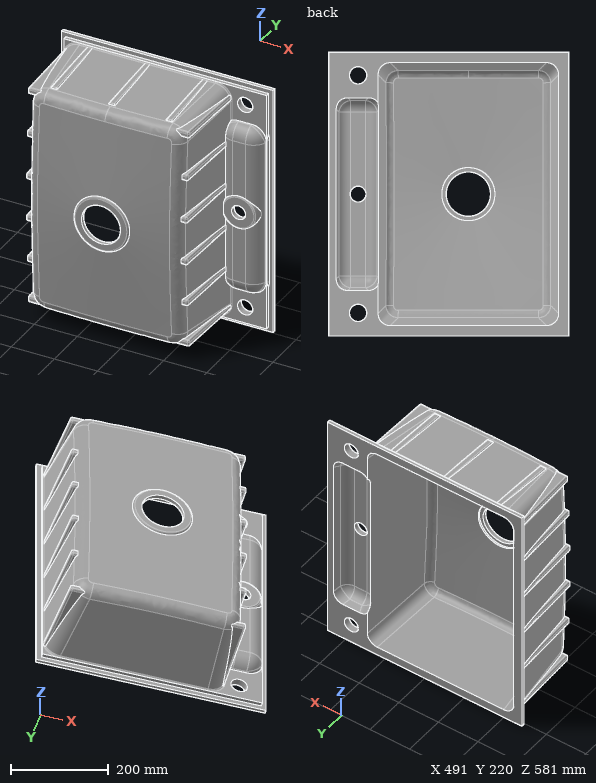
import cadquery as cq
import math


RIM_WIDTH = 491.0
RIM_HEIGHT = 581.0
RIM_THICKNESS = 8.0
STEP_INSET = 10.5
STEP_THICKNESS = 9.0
PLATE_DEPTH = RIM_THICKNESS + STEP_THICKNESS

WALL = 10.0

BASIN_X = -40.0
BASIN_WIDTH = 386.0
BASIN_HEIGHT = 554.5
BASIN_DRAFT = 5.3
BASIN_CORNER_RADIUS = 35.0
BASIN_ROOT_RADIUS = 3.0
BASIN_FLOOR_RADIUS = 26.0
FLOOR_SLOPE = 0.073
FLOOR_APEX_DEPTH = 220.0

DRAIN_FACE_DEPTH = 220.0
DRAIN_FLANGE_DIAMETER = 128.5
DRAIN_EDGE_RADIUS = 4.0
DRAIN_HOLE_DIAMETER = 90.0

TRAY_X = 185.5
TRAY_WIDTH = 97.5
TRAY_HEIGHT = 402.0
TRAY_FLOOR_DEPTH = PLATE_DEPTH + 26.0
TRAY_DRAFT = 19.0
TRAY_RADIUS = 35.0
BOSS_FACE_DEPTH = PLATE_DEPTH + 28.5
BOSS_FACE_DIAMETER = 75.5
BOSS_EDGE_RADIUS = 3.0
BOSS_HOLE_DIAMETER = 32.0

TAP_HOLE_DIAMETER = 35.0
TAP_HOLE_Z = 243.0

RIB_WIDTH = 14.5
SIDE_RIB_EDGE_RADIUS = 4.0
SIDE_RIB_COUNT = 6
SIDE_RIB_PITCH = 100.0
SIDE_RIB_DRAFT = 2.0
SIDE_RIB_FLOOR_GAP = 9.5
END_RIB_COUNT = 3
END_RIB_PITCH = 133.5
END_RIB_END_DEPTH = PLATE_DEPTH + 157.0
END_RIB_RISE = 3.0
END_RIB_EDGE_RADIUS = 2.5

EDGE_SEARCH_MARGIN = 0.5


def plane_at(depth, x=0.0, z=0.0):
    """Workplane at a depth behind the rim face; its local axes are X and Z, its normal is -Y."""
    return cq.Workplane("XZ", origin=(x, -depth, z))


def narrowing(depth, draft):
    """Sideways shift of a drafted wall between the back of the plate and a depth."""
    return (depth - PLATE_DEPTH) * math.tan(math.radians(draft))


def drafted_block(x, width, height, draft, end_depth):
    """Block from the rim face down, with the given size at the back of the plate."""
    growth = -2 * narrowing(0, draft)
    return plane_at(0, x).rect(width + growth, height + growth).extrude(end_depth, taper=draft)


def floor_depth(x, z):
    """Depth of the conical basin floor at a point of the XZ plane."""
    return FLOOR_APEX_DEPTH - FLOOR_SLOPE * math.hypot(x - BASIN_X, z)


def basin_body(inset):
    """Basin shape shrunk by a wall thickness: drafted walls over a shallow conical floor."""
    apex_depth = FLOOR_APEX_DEPTH - inset
    apex = cq.Vector(BASIN_X, -apex_depth, 0)
    cone = cq.Solid.makeCone(0, apex_depth / FLOOR_SLOPE, apex_depth, apex, cq.Vector(0, 1, 0))
    body = drafted_block(
        BASIN_X, BASIN_WIDTH - 2 * inset, BASIN_HEIGHT - 2 * inset, BASIN_DRAFT, FLOOR_APEX_DEPTH
    )
    body = body.edges("not(#Y)").fillet(BASIN_CORNER_RADIUS - inset)
    body = body.intersect(cq.Workplane(obj=cone))
    return body.faces("%CONE").faces("<Y").edges().fillet(BASIN_FLOOR_RADIUS - inset)


def tray_body(inset):
    """Tray shape shrunk by a wall thickness."""
    body = drafted_block(
        TRAY_X, TRAY_WIDTH - 2 * inset, TRAY_HEIGHT - 2 * inset, TRAY_DRAFT, TRAY_FLOOR_DEPTH - inset
    )
    return body.edges("not >Y").fillet(TRAY_RADIUS - inset)


def disc(depth, end_depth, x, diameter, z=0.0):
    return plane_at(depth, x, z).circle(diameter / 2).extrude(end_depth - depth)


def plate():
    rim = plane_at(0).rect(RIM_WIDTH, RIM_HEIGHT).extrude(RIM_THICKNESS)
    step = plane_at(0).rect(RIM_WIDTH - 2 * STEP_INSET, RIM_HEIGHT - 2 * STEP_INSET).extrude(PLATE_DEPTH)
    return rim.union(step)


def drain_flange():
    flange = disc(PLATE_DEPTH, DRAIN_FACE_DEPTH, BASIN_X, DRAIN_FLANGE_DIAMETER)
    return flange.faces("<Y").edges().fillet(DRAIN_EDGE_RADIUS)


def tray_boss():
    base_diameter = BOSS_FACE_DIAMETER + 2 * narrowing(BOSS_FACE_DEPTH, TRAY_DRAFT)
    boss = plane_at(PLATE_DEPTH, TRAY_X).circle(base_diameter / 2)
    boss = boss.extrude(BOSS_FACE_DEPTH - PLATE_DEPTH, taper=TRAY_DRAFT)
    return boss.faces("<Y").edges().fillet(BOSS_EDGE_RADIUS)


def filled_outer_shape():
    """Plate with the basin, the tray and their drain bosses, still filled."""
    half_width = BASIN_WIDTH / 2 + EDGE_SEARCH_MARGIN
    half_height = BASIN_HEIGHT / 2 + EDGE_SEARCH_MARGIN
    basin_root = cq.selectors.BoxSelector(
        (BASIN_X - half_width, -PLATE_DEPTH - EDGE_SEARCH_MARGIN, -half_height),
        (BASIN_X + half_width, -PLATE_DEPTH + EDGE_SEARCH_MARGIN, half_height),
    )
    body = plate().union(basin_body(0))
    body = body.edges(basin_root).fillet(BASIN_ROOT_RADIUS)
    return body.union(tray_body(0)).union(drain_flange()).union(tray_boss())


def side_rib_pair(z):
    """Ribs on the -X and +X walls, built as one bar through the basin."""
    end_depth = floor_depth(BASIN_X + BASIN_WIDTH / 2, z) - SIDE_RIB_FLOOR_GAP
    start = BASIN_WIDTH / 2
    end = start - narrowing(end_depth, SIDE_RIB_DRAFT)
    profile = [(start, -PLATE_DEPTH), (end, -end_depth), (-end, -end_depth), (-start, -PLATE_DEPTH)]
    bar = cq.Workplane("XY", origin=(BASIN_X, 0, z)).polyline(profile).close()
    bar = bar.extrude(RIB_WIDTH / 2, both=True)
    outer_edges = bar.faces("<X or >X").edges("not >Y")
    end_edges = bar.edges("|X and <Y")
    return outer_edges.add(end_edges).fillet(SIDE_RIB_EDGE_RADIUS)


def end_rib(x):
    """Rib on the +Z wall, which ends above the floor rounding."""
    start = BASIN_HEIGHT / 2
    end = start - narrowing(END_RIB_END_DEPTH, BASIN_DRAFT) + END_RIB_RISE
    profile = [(-PLATE_DEPTH, start), (-END_RIB_END_DEPTH, end), (-END_RIB_END_DEPTH, 0), (-PLATE_DEPTH, 0)]
    bar = cq.Workplane("YZ", origin=(x, 0, 0)).polyline(profile).close()
    bar = bar.extrude(RIB_WIDTH / 2, both=True)
    return bar.faces(">Z").edges("not >Y").fillet(END_RIB_EDGE_RADIUS)


def centred_positions(count, pitch):
    """Evenly spaced positions, symmetric about zero."""
    return [(i - (count - 1) / 2) * pitch for i in range(count)]


sink = filled_outer_shape()
for rib_z in centred_positions(SIDE_RIB_COUNT, SIDE_RIB_PITCH):
    sink = sink.union(side_rib_pair(rib_z))
for rib_offset in centred_positions(END_RIB_COUNT, END_RIB_PITCH):
    sink = sink.union(end_rib(BASIN_X + rib_offset))

sink = sink.cut(basin_body(WALL)).cut(tray_body(WALL))

drain_seat = disc(0, DRAIN_FACE_DEPTH - WALL, BASIN_X, DRAIN_FLANGE_DIAMETER - 2 * WALL)
sink = sink.cut(drain_seat)
sink = sink.cut(disc(0, DRAIN_FACE_DEPTH, BASIN_X, DRAIN_HOLE_DIAMETER))
sink = sink.cut(disc(0, BOSS_FACE_DEPTH, TRAY_X, BOSS_HOLE_DIAMETER))

for tap_z in (-TAP_HOLE_Z, TAP_HOLE_Z):
    sink = sink.cut(disc(0, PLATE_DEPTH, TRAY_X, TAP_HOLE_DIAMETER, tap_z))

result = sink